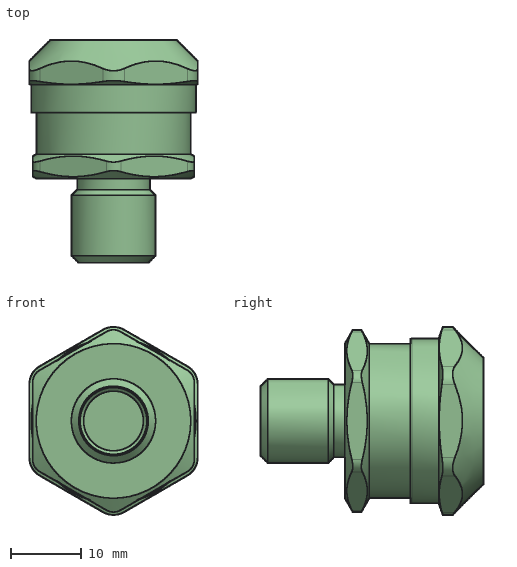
import cadquery as cq
import math

HEX_SIDES = 6
HEX_TURN = 180 / HEX_SIDES
CORNER_TO_FLAT_RATIO = 1 / math.cos(math.pi / HEX_SIDES)

STUD_LENGTH = 12.0
STUD_DIAMETER = 12.0
NECK_DIAMETER = 10.4
NECK_LENGTH = 1.55
TIP_CHAMFER = 1.05
SHOULDER_CHAMFER = (STUD_DIAMETER - NECK_DIAMETER) / 2

RECESS_DIAMETER = 9.5
RECESS_FLOOR_DIAMETER = 8.5
RECESS_DEPTH = 0.5

SMALL_HEX_FLATS = 23.0
SMALL_HEX_LENGTH = 3.5
SMALL_HEX_CORNER_RADIUS = 2.0
SMALL_HEX_CHAMFER_ANGLE = 30.0

BODY_DIAMETER = 22.0
BODY_LENGTH = 5.85
COLLAR_DIAMETER = 23.5
COLLAR_LENGTH = 4.0
COLLAR_CHAMFER_LENGTH = 0.2
COLLAR_CHAMFER_DEPTH = 0.05

TOTAL_LENGTH = 31.75
LARGE_HEX_FLATS = 24.0
LARGE_HEX_CORNER_RADIUS = 3.0
LARGE_HEX_FRONT_ANGLE = 20.0
REAR_FACE_DIAMETER = 18.0
REAR_CONE_ANGLE = 45.0

SMALL_HEX_FRONT = STUD_LENGTH
BODY_FRONT = SMALL_HEX_FRONT + SMALL_HEX_LENGTH
COLLAR_FRONT = BODY_FRONT + BODY_LENGTH
LARGE_HEX_FRONT = COLLAR_FRONT + COLLAR_LENGTH
LARGE_HEX_LENGTH = TOTAL_LENGTH - LARGE_HEX_FRONT


def revolve_about_y(points):
    """Turn a closed (radius, Y) outline about the Y axis."""
    return cq.Workplane("XY").polyline(points).close().revolve(360, (0, 0, 0), (0, 1, 0))


def chamfered_hexagon(flats, corner_radius, front, length, front_face, rear_face):
    """Hexagon with flats facing X, rounded corners and both ends turned conical.

    front_face and rear_face are (end circle diameter, cone angle to the end face) pairs.
    """
    corner_diameter = flats * CORNER_TO_FLAT_RATIO
    rear = front + length
    hexagon = (
        cq.Workplane("XZ", origin=(0, front, 0))
        .polygon(HEX_SIDES, corner_diameter)
        .extrude(-length)
        .rotate((0, 0, 0), (0, 1, 0), HEX_TURN)
        .edges("|Y")
        .fillet(corner_radius)
    )
    outer_radius = corner_diameter / 2
    front_radius = front_face[0] / 2
    rear_radius = rear_face[0] / 2
    front_depth = (outer_radius - front_radius) * math.tan(math.radians(front_face[1]))
    rear_depth = (outer_radius - rear_radius) * math.tan(math.radians(rear_face[1]))
    envelope = revolve_about_y([
        (0, front),
        (front_radius, front),
        (outer_radius, front + front_depth),
        (outer_radius, rear - rear_depth),
        (rear_radius, rear),
        (0, rear),
    ])
    return hexagon.intersect(envelope)


def make_stud():
    """Stud with a chamfered tip, a conical shoulder and a narrower neck."""
    stud_radius = STUD_DIAMETER / 2
    neck_radius = NECK_DIAMETER / 2
    neck_front = STUD_LENGTH - NECK_LENGTH
    return revolve_about_y([
        (0, 0),
        (stud_radius - TIP_CHAMFER, 0),
        (stud_radius, TIP_CHAMFER),
        (stud_radius, neck_front - SHOULDER_CHAMFER),
        (neck_radius, neck_front),
        (neck_radius, STUD_LENGTH),
        (0, STUD_LENGTH),
    ])


def make_tip_recess():
    """Cone frustum that is removed from the stud tip."""
    return revolve_about_y([
        (0, 0),
        (RECESS_DIAMETER / 2, 0),
        (RECESS_FLOOR_DIAMETER / 2, RECESS_DEPTH),
        (0, RECESS_DEPTH),
    ])


def make_body():
    """Cylindrical body and the wider collar with its chamfered front edge."""
    body_radius = BODY_DIAMETER / 2
    collar_radius = COLLAR_DIAMETER / 2
    return revolve_about_y([
        (0, BODY_FRONT),
        (body_radius, BODY_FRONT),
        (body_radius, COLLAR_FRONT),
        (collar_radius - COLLAR_CHAMFER_DEPTH, COLLAR_FRONT),
        (collar_radius, COLLAR_FRONT + COLLAR_CHAMFER_LENGTH),
        (collar_radius, LARGE_HEX_FRONT),
        (0, LARGE_HEX_FRONT),
    ])


small_hexagon = chamfered_hexagon(
    SMALL_HEX_FLATS,
    SMALL_HEX_CORNER_RADIUS,
    SMALL_HEX_FRONT,
    SMALL_HEX_LENGTH,
    (BODY_DIAMETER, SMALL_HEX_CHAMFER_ANGLE),
    (BODY_DIAMETER, SMALL_HEX_CHAMFER_ANGLE),
)
large_hexagon = chamfered_hexagon(
    LARGE_HEX_FLATS,
    LARGE_HEX_CORNER_RADIUS,
    LARGE_HEX_FRONT,
    LARGE_HEX_LENGTH,
    (COLLAR_DIAMETER, LARGE_HEX_FRONT_ANGLE),
    (REAR_FACE_DIAMETER, REAR_CONE_ANGLE),
)

result = (
    make_stud()
    .cut(make_tip_recess())
    .union(small_hexagon)
    .union(make_body())
    .union(large_hexagon)
)